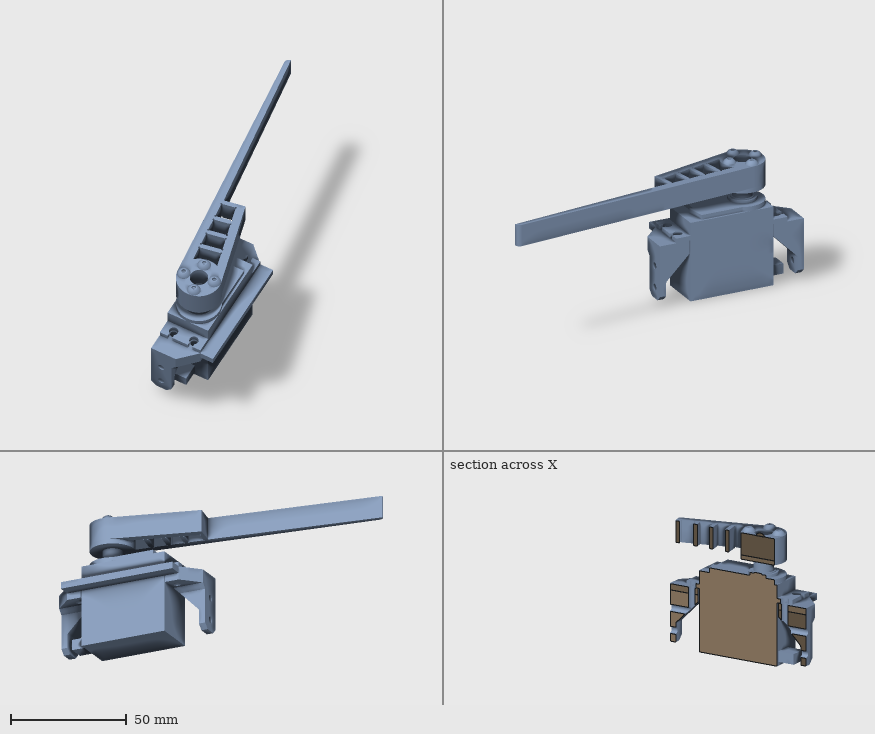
import cadquery as cq
import math


case_width = 20.0
case_length = 40.0
case_height = 37.0
half_width = case_width / 2
axis_radius = half_width
case_center_y = case_length / 2 - axis_radius
case_half_length = case_length / 2

boss_height = 2.2
boss_half_width = 9.0
boss_end_y = 24.0
boss_peak_y = 25.8
collar_diameter = 13
collar_height = 1.3
ring_diameter = 10.7
ring_height = 0.5

flange_half_length = 27.0
flange_bottom_z = 28.7
flange_thickness = 2.2
flange_hole_diameter = 4.0
flange_slot_width = 2.3
mount_hole_x = 10.0 / 2
mount_hole_y = 23.6

plug_min_x = -4.0
plug_width = 7.5
plug_length = 7.8
plug_height = 4.8
plug_bottom_z = 1.7

plate_thickness = 3.0
plate_half_length = 34.8
plate_side_x = 16.2
plate_clearance = 0.5
plate_hole_diameter = 3.0
plate_bottom_z = flange_bottom_z - plate_thickness
corner_cut = plate_half_length - flange_half_length
opening_half_length = case_half_length + plate_clearance

leg_wall_thickness = 3.0
leg_bottom_z = 2.5
leg_side_x = 0
leg_bottom_chamfer = 2.3
leg_fillet = 1.0
leg_hole_diameter = 3.0
leg_hole_x = -mount_hole_x
leg_hole_z = 7.7
leg_hole_pitch = 10.0
leg_top_underside_z = plate_bottom_z - plate_thickness

hub_diameter = 9.0
hub_length = 4.6
horn_thickness = 2.2
horn_hole_diameter = 3.3
hub_bottom_z = case_height + boss_height + collar_height + ring_height
horn_bottom_z = hub_bottom_z + hub_length

arm_tilt = 10.2
arm_taper = 8.1 / 2
arm_thickness = 10.0
arm_wall = 3.9
arm_bore = 8.0
shoulder_y = 42.2
blade_root_x = -2.9
blade_tip_x = 0.9
blade_tip_y = 121.9
blade_tip_radius = 2.0
rib_thickness = 2.0
rib_pitch = 8.0
rib_count = 3
first_rib_y = 15.2
corner_relief_radius = 0.5
arm_bottom_z = horn_bottom_z + horn_thickness
arm_top_z = arm_bottom_z + arm_thickness

screw_circle_radius = 7.0
screw_count = 4
head_radius = 6.0 / 2
head_top_radius = 1.38
head_height = 1.7
socket_radius = 0.94
socket_depth = 1.0
socket_tip_depth = 1.3


def block(x_min, x_max, y_min, y_max, z_min, height):
    """A box given by its limits in X and Y, its bottom and its height."""
    base = cq.Workplane("XY").box(x_max - x_min, y_max - y_min, height, centered=False)
    return base.translate((x_min, y_min, z_min))


def disc(radius, z_min, height):
    """A cylinder on the output axis."""
    return cq.Workplane("XY").workplane(offset=z_min).circle(radius).extrude(height)


def mount_holes(diameter, z_min, height):
    """Cutters for the four vertical mounting holes."""
    points = [
        (x, case_center_y + y)
        for x in (-mount_hole_x, mount_hole_x)
        for y in (-mount_hole_y, mount_hole_y)
    ]
    return cq.Workplane("XY").workplane(offset=z_min).pushPoints(points).circle(diameter / 2).extrude(height)


def make_flange():
    """Mounting ears whose holes open to the ends through narrow slots."""
    flange = block(
        -half_width, half_width,
        case_center_y - flange_half_length, case_center_y + flange_half_length,
        flange_bottom_z, flange_thickness,
    )
    flange = flange.cut(mount_holes(flange_hole_diameter, flange_bottom_z, flange_thickness))
    slot_length = flange_half_length - mount_hole_y
    slot_offset = mount_hole_y + slot_length / 2
    for x in (-mount_hole_x, mount_hole_x):
        for side in (-1, 1):
            slot = cq.Workplane("XY").box(
                flange_slot_width, slot_length, flange_thickness, centered=(True, True, False)
            )
            flange = flange.cut(slot.translate((x, case_center_y + side * slot_offset, flange_bottom_z)))
    return flange


def make_boss():
    """Raised top: a disc round the axis with a narrower tongue that has a pointed end."""
    tongue = (
        cq.Workplane("XY").workplane(offset=case_height)
        .moveTo(-boss_half_width, 0)
        .lineTo(boss_half_width, 0)
        .lineTo(boss_half_width, boss_end_y)
        .lineTo(0, boss_end_y)
        .lineTo(0, boss_peak_y)
        .lineTo(-boss_half_width, boss_end_y)
        .close()
        .extrude(boss_height)
    )
    return disc(axis_radius, case_height, boss_height).union(tongue)


def make_servo():
    case_front_y = case_center_y - case_half_length
    servo = block(-half_width, half_width, case_front_y, case_front_y + case_length, 0, case_height)
    servo = servo.union(make_flange()).union(make_boss())
    collar_z = case_height + boss_height
    servo = servo.union(disc(collar_diameter / 2, collar_z, collar_height))
    servo = servo.union(disc(ring_diameter / 2, collar_z + collar_height, ring_height))
    plug = block(
        plug_min_x, plug_min_x + plug_width,
        case_front_y - plug_length, case_front_y,
        plug_bottom_z, plug_height,
    )
    return servo.union(plug)


def end_tab(z_min):
    """Tab under the -Y mounting ear, with its outer +X corner cut off, centred on the case."""
    return (
        cq.Workplane("XY").workplane(offset=z_min)
        .moveTo(-half_width, -opening_half_length)
        .lineTo(-half_width, -plate_half_length)
        .lineTo(half_width - corner_cut, -plate_half_length)
        .lineTo(half_width, -flange_half_length)
        .lineTo(half_width, -opening_half_length)
        .close()
        .extrude(plate_thickness)
    )


def make_plate():
    """U-shaped plate: a strip along the +X side of the case joins the two end tabs."""
    plate = block(
        half_width, plate_side_x, -flange_half_length, flange_half_length, plate_bottom_z, plate_thickness
    )
    tab = end_tab(plate_bottom_z)
    plate = plate.union(tab).union(tab.mirror("XZ")).translate((0, case_center_y, 0))
    return plate.cut(mount_holes(plate_hole_diameter, plate_bottom_z, plate_thickness))


def make_leg(side):
    """Bracket leg below one end tab; side is -1 for the -Y end and 1 for the +Y end."""
    wall_inner_y = -plate_half_length + leg_wall_thickness
    slope_run = -opening_half_length - wall_inner_y
    slope_bottom_z = leg_top_underside_z - slope_run
    tab_corner_x = half_width - corner_cut
    web = (
        cq.Workplane("YZ").workplane(offset=-half_width)
        .moveTo(-plate_half_length, leg_bottom_z)
        .lineTo(wall_inner_y, leg_bottom_z)
        .lineTo(wall_inner_y, slope_bottom_z)
        .lineTo(-opening_half_length, leg_top_underside_z)
        .lineTo(-plate_half_length, leg_top_underside_z)
        .close()
        .extrude(tab_corner_x + half_width)
    )
    bend = cq.selectors.NearestToPointSelector((0, wall_inner_y, slope_bottom_z))
    web = web.edges("|X").edges(bend).fillet(leg_fillet)

    step = tab_corner_x - leg_side_x
    face = (
        cq.Workplane("XZ").workplane(offset=opening_half_length)
        .moveTo(-half_width, leg_top_underside_z)
        .lineTo(-half_width, leg_bottom_z + leg_bottom_chamfer)
        .lineTo(-half_width + leg_bottom_chamfer, leg_bottom_z)
        .lineTo(leg_side_x - leg_bottom_chamfer, leg_bottom_z)
        .lineTo(leg_side_x, leg_bottom_z + leg_bottom_chamfer)
        .lineTo(leg_side_x, leg_top_underside_z - step)
        .lineTo(tab_corner_x, leg_top_underside_z)
        .close()
        .extrude(plate_half_length - opening_half_length)
    )
    screw_holes = (
        cq.Workplane("XZ").workplane(offset=opening_half_length)
        .pushPoints([(leg_hole_x, leg_hole_z), (leg_hole_x, leg_hole_z + leg_hole_pitch)])
        .circle(leg_hole_diameter / 2)
        .extrude(plate_half_length - opening_half_length)
    )
    leg = web.intersect(face).cut(screw_holes).union(end_tab(leg_top_underside_z))
    if side > 0:
        leg = leg.mirror("XZ")
    leg = leg.translate((0, case_center_y, 0))
    return leg.cut(mount_holes(plate_hole_diameter, leg_bottom_z, plate_bottom_z - leg_bottom_z))


def make_horn():
    horn = disc(hub_diameter / 2, hub_bottom_z, hub_length)
    horn = horn.union(disc(axis_radius, horn_bottom_z, horn_thickness))
    return horn.cut(disc(horn_hole_diameter / 2, hub_bottom_z, hub_length + horn_thickness))


def tapered_x(offset, y):
    """X at height y of the +X taper line that lies the given distance from the axis."""
    taper = math.radians(arm_taper)
    return (offset - y * math.sin(taper)) / math.cos(taper)


def arm_outline():
    """Round end with tangent tapering sides, and a blade that continues the -X side."""
    taper = math.radians(arm_taper)
    tangent_x = axis_radius * math.cos(taper)
    tangent_y = axis_radius * math.sin(taper)
    outline = (
        cq.Workplane("XY").workplane(offset=arm_bottom_z)
        .moveTo(tangent_x, tangent_y)
        .lineTo(tapered_x(axis_radius, shoulder_y), shoulder_y)
        .lineTo(blade_root_x, shoulder_y)
        .lineTo(blade_tip_x, blade_tip_y)
        .lineTo(-tapered_x(axis_radius, blade_tip_y), blade_tip_y)
        .lineTo(-tangent_x, tangent_y)
        .threePointArc((0, -axis_radius), (tangent_x, tangent_y))
        .close()
        .extrude(arm_thickness)
    )
    tip_corner = (-tapered_x(axis_radius, blade_tip_y), blade_tip_y, arm_bottom_z + arm_thickness / 2)
    return outline.edges("|Z").edges(cq.selectors.NearestToPointSelector(tip_corner)).fillet(blade_tip_radius)


def arm_pocket(y_min, y_max):
    """Cutter for one through pocket between the side walls."""
    inner = axis_radius - arm_wall
    corners = [(side * tapered_x(inner, y), y) for y, side in
               ((y_min, -1), (y_min, 1), (y_max, 1), (y_max, -1))]
    level = cq.Workplane("XY").workplane(offset=arm_bottom_z)
    pocket = level.polyline(corners).close().extrude(arm_thickness)
    return pocket.union(level.pushPoints(corners).circle(corner_relief_radius).extrude(arm_thickness))


def make_arm():
    arm = arm_outline().cut(disc(arm_bore / 2, arm_bottom_z, arm_thickness))
    rib_starts = [first_rib_y + i * rib_pitch for i in range(rib_count)]
    pocket_starts = [0] + [y + rib_thickness for y in rib_starts]
    pocket_ends = rib_starts + [shoulder_y - rib_thickness]
    for y_min, y_max in zip(pocket_starts, pocket_ends):
        pocket = arm_pocket(y_min, y_max)
        arm = arm.cut(pocket.cut(disc(axis_radius, arm_bottom_z, arm_thickness)))
    return arm.rotate((0, 0, 0), (0, 0, 1), arm_tilt)


def make_screw(angle):
    """Domed screw head with a round socket, standing on the arm."""
    center = (head_height**2 + head_top_radius**2 - head_radius**2) / (2 * head_height)
    sphere_radius = math.hypot(head_radius, center)
    middle_z = head_height / 2
    middle_radius = math.sqrt(sphere_radius**2 - (middle_z - center)**2)
    head = (
        cq.Workplane("XZ")
        .moveTo(0, 0)
        .lineTo(head_radius, 0)
        .threePointArc((middle_radius, middle_z), (head_top_radius, head_height))
        .lineTo(socket_radius, head_height)
        .lineTo(socket_radius, head_height - socket_depth)
        .lineTo(0, head_height - socket_tip_depth)
        .close()
        .revolve(360, (0, 0, 0), (0, 1, 0))
    )
    head = head.translate((screw_circle_radius, 0, arm_top_z))
    return head.rotate((0, 0, 0), (0, 0, 1), angle)


servo = make_servo()
plate = make_plate()
legs = [make_leg(side) for side in (-1, 1)]
horn = make_horn()
arm = make_arm()
screws = [make_screw(arm_tilt + i * 360 / screw_count) for i in range(screw_count)]

result = cq.Compound.makeCompound([
    servo.val(),
    plate.val(),
    *[leg.val() for leg in legs],
    horn.val(),
    arm.val(),
    *[screw.val() for screw in screws],
])